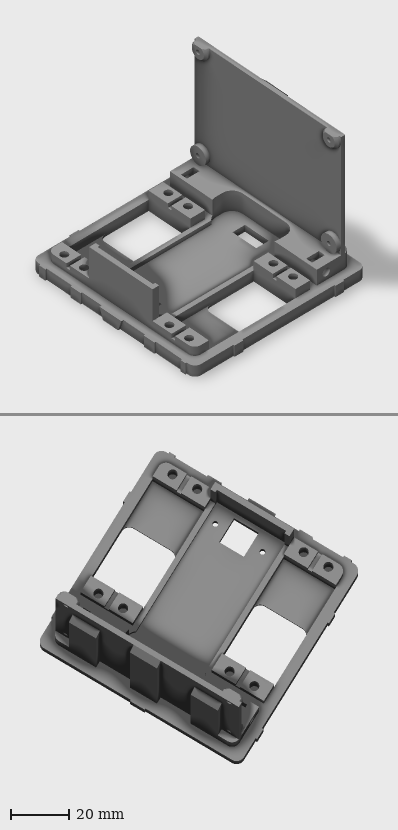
import cadquery as cq


OVERALL_X = 83.0
PLATE_X = 81.8
PLATE_Y = 81.0
PLATE_Z = 5.0
CORNER_R = 3.0
SIDE_TAB_WIDTH = 4.15
SIDE_TAB_YS = (27.6, -20.1)
BACK_TAB_OUT = 0.5
BACK_TAB_WIDTH = 6.0
FRONT_TAB_OUT = 0.7
FRONT_TAB_SPANS = ((-36.7, -33.5), (-20.8, -15.7), (16.0, 21.4), (34.5, 36.9))
KEY_OUT = 1.0
KEY_CENTRE_X = -0.4
KEY_TOP_WIDTH = 10.95
KEY_BOTTOM_WIDTH = 7.6

INNER = 73.95
HALF_INNER = INNER / 2

BAY_INNER_X = 15.9
BAY_WIDTH = HALF_INNER - BAY_INNER_X
BAY_X = (HALF_INNER + BAY_INNER_X) / 2
BAY_FLOOR_Z = 1.0
OPENING_FRONT_Y = -12.5
OPENING_R = 3.0
BOSS_DEPTH = 6.9
BOSS_TOP_Z = 9.05
BACK_BOSS_Y = 14.4
FRONT_BOSS_Y = -HALF_INNER + BOSS_DEPTH / 2
BOSS_HOLE_D = 3.5
BOSS_HOLE_PITCH = 10.0
BOSS_HOLE_Y_SHIFT = 0.7
GROOVE_WIDTH = 1.75
GROOVE_DEPTH = 2.0

BLOCK_FRONT_Y = 21.0
BLOCK_TOP_Z = 12.0
SLOT_X = 31.5
SLOT_Y = 25.5
SLOT_WIDTH = 3.0
SLOT_LENGTH = 6.0
SLOT_FLOOR_Z = 6.0
SIDE_HOLE_D = 3.5
SIDE_HOLE_Z = 8.5
SIDE_HOLE_DEPTH = 10.0

PANEL_FRONT_Y = 32.5
PANEL_BACK_Y = 34.45
PANEL_TOP_Z = 64.5
PAD_D = 8.0
PAD_OUT = 2.1
PAD_X = 32.95
PAD_LOW_Z = BLOCK_TOP_Z + PAD_D / 2
PAD_HIGH_Z = 62.0
PAD_CHAMFER = 1.0
SCREW_HOLE_D = 2.0
SIDE_RIB_X = 24.6
SIDE_RIB_TOP_Z = 54.5
RIB_WIDTH = 10.95
RIB_SLOPE_DROP = HALF_INNER - PANEL_BACK_Y
GAP_X = SIDE_RIB_X / 2
GAP_WIDTH = SIDE_RIB_X - RIB_WIDTH

WALL_BACK_Y = -33.9
WALL_TOP_Z = 23.1
POCKET_FLOOR_Z = 3.0
POCKET_WIDTH = 27.9
POCKET_FRONT_Y = -34.9
POCKET_HEAD_FRONT_Y = 17.9
POCKET_HEAD_BACK_Y = 31.0
POCKET_HEAD_R = 5.0
POCKET_HOLE_Y = -28.05
POCKET_HOLE_XS = (-8.55, 10.45)
BACK_WINDOW_X_SPAN = (-6.0, 6.0)
BACK_WINDOW_Y_SPAN = (21.5, 27.4)
FRONT_WINDOW_X_SPAN = (-4.0, 6.0)
FRONT_WINDOW_Y_SPAN = (-33.1, -23.2)


def box(x0, x1, y0, y1, z0, z1):
    """Box between two opposite corners."""
    return cq.Workplane("XY").box(x1 - x0, y1 - y0, z1 - z0, centered=False).translate((x0, y0, z0))


def inner_prism(z1):
    """Rounded square prism from the plate underside up to z1."""
    return cq.Workplane("XY").rect(INNER, INNER).extrude(z1).edges("|Z").fillet(CORNER_R)


def y_cylinder(diameter, x, z, front_y, back_y):
    """Cylinder along Y between two Y positions."""
    plane = cq.Workplane("XZ", origin=(x, back_y, z))
    return plane.circle(diameter / 2).extrude(back_y - front_y)


def base_plate():
    """Solid plate with side, back and front tabs and a tapered key at the front."""
    plate = cq.Workplane("XY").rect(PLATE_X, PLATE_Y).extrude(PLATE_Z).edges("|Z").fillet(CORNER_R)
    half_tab = SIDE_TAB_WIDTH / 2
    for y in SIDE_TAB_YS:
        plate = plate.union(box(-OVERALL_X / 2, OVERALL_X / 2, y - half_tab, y + half_tab, 0, PLATE_Z))
    back_y = PLATE_Y / 2 + BACK_TAB_OUT
    plate = plate.union(box(-BACK_TAB_WIDTH / 2, BACK_TAB_WIDTH / 2, 0, back_y, 0, PLATE_Z))
    for x0, x1 in FRONT_TAB_SPANS:
        plate = plate.union(box(x0, x1, -PLATE_Y / 2 - FRONT_TAB_OUT, -HALF_INNER, 0, PLATE_Z))
    key = (
        cq.Workplane("XZ", origin=(KEY_CENTRE_X, -HALF_INNER, 0))
        .moveTo(-KEY_BOTTOM_WIDTH / 2, 0)
        .lineTo(KEY_BOTTOM_WIDTH / 2, 0)
        .lineTo(KEY_TOP_WIDTH / 2, PLATE_Z)
        .lineTo(-KEY_TOP_WIDTH / 2, PLATE_Z)
        .close()
        .extrude(PLATE_Y / 2 + KEY_OUT - HALF_INNER)
    )
    return plate.union(key)


def bay_cut(x):
    """Recess between the two bosses of a bay, open through the plate at the back."""
    x0 = x - BAY_WIDTH / 2
    x1 = x + BAY_WIDTH / 2
    back_y = BACK_BOSS_Y - BOSS_DEPTH / 2
    recess = box(x0, x1, -HALF_INNER + BOSS_DEPTH, back_y, BAY_FLOOR_Z, PLATE_Z)
    opening = box(x0, x1, OPENING_FRONT_Y, back_y, 0, PLATE_Z).edges("|Z and <Y").fillet(OPENING_R)
    return recess.union(opening)


def boss(x, y, hole_y):
    """Grooved boss body, and the two blind holes to cut into it and the plate below."""
    body = box(
        x - BAY_WIDTH / 2, x + BAY_WIDTH / 2, y - BOSS_DEPTH / 2, y + BOSS_DEPTH / 2, 0, BOSS_TOP_Z
    ).intersect(inner_prism(BOSS_TOP_Z))
    groove = box(
        x - GROOVE_WIDTH / 2,
        x + GROOVE_WIDTH / 2,
        y - BOSS_DEPTH / 2,
        y + BOSS_DEPTH / 2,
        BOSS_TOP_Z - GROOVE_DEPTH,
        BOSS_TOP_Z,
    )
    holes = (
        cq.Workplane("XY", origin=(x, hole_y, BAY_FLOOR_Z))
        .rarray(BOSS_HOLE_PITCH, 0.8, 2, 1)
        .circle(BOSS_HOLE_D / 2)
        .extrude(BOSS_TOP_Z)
    )
    return body.cut(groove), holes


def rear_block():
    """Block with a vertical slot at each end, met by a hole from the side, and gaps between the ribs."""
    block = inner_prism(BLOCK_TOP_Z).intersect(
        box(-HALF_INNER, HALF_INNER, BLOCK_FRONT_Y, HALF_INNER, 0, BLOCK_TOP_Z)
    )
    for side in (-1, 1):
        slot = box(
            side * SLOT_X - SLOT_WIDTH / 2,
            side * SLOT_X + SLOT_WIDTH / 2,
            SLOT_Y - SLOT_LENGTH / 2,
            SLOT_Y + SLOT_LENGTH / 2,
            SLOT_FLOOR_Z,
            BLOCK_TOP_Z,
        )
        side_hole = (
            cq.Workplane("YZ", origin=(side * HALF_INNER, SLOT_Y, SIDE_HOLE_Z))
            .circle(SIDE_HOLE_D / 2)
            .extrude(-side * SIDE_HOLE_DEPTH)
        )
        gap_x = side * GAP_X
        gap = box(
            gap_x - GAP_WIDTH / 2, gap_x + GAP_WIDTH / 2, PANEL_BACK_Y, HALF_INNER, PLATE_Z, BLOCK_TOP_Z
        )
        block = block.cut(slot).cut(side_hole).cut(gap)
    return block


def rib(x, top_z):
    """Rib behind the panel with a top that slopes down to the back."""
    return (
        cq.Workplane("YZ", origin=(x - RIB_WIDTH / 2, 0, 0))
        .moveTo(PANEL_FRONT_Y, BLOCK_TOP_Z)
        .lineTo(HALF_INNER, BLOCK_TOP_Z)
        .lineTo(HALF_INNER, top_z - RIB_SLOPE_DROP)
        .lineTo(PANEL_BACK_Y, top_z)
        .lineTo(PANEL_FRONT_Y, top_z)
        .close()
        .extrude(RIB_WIDTH)
    )


def panel():
    """Panel with four drilled pads; the two high pads are chamfered and cut level with its top."""
    body = box(-HALF_INNER, HALF_INNER, PANEL_FRONT_Y, PANEL_BACK_Y, BLOCK_TOP_Z, PANEL_TOP_Z)
    body = body.union(rib(0, PANEL_TOP_Z))
    for side in (-1, 1):
        body = body.union(rib(side * SIDE_RIB_X, SIDE_RIB_TOP_Z))
    pad_front_y = PANEL_FRONT_Y - PAD_OUT
    above_panel = box(-HALF_INNER, HALF_INNER, pad_front_y, HALF_INNER, PANEL_TOP_Z, PANEL_TOP_Z + PAD_D)
    for x in (-PAD_X, PAD_X):
        high_pad = y_cylinder(PAD_D, x, PAD_HIGH_Z, pad_front_y, PANEL_BACK_Y)
        high_pad = high_pad.faces("<Y").chamfer(PAD_CHAMFER)
        low_pad = y_cylinder(PAD_D, x, PAD_LOW_Z, pad_front_y, PANEL_BACK_Y)
        body = body.union(high_pad.cut(above_panel)).union(low_pad)
        for z in (PAD_LOW_Z, PAD_HIGH_Z):
            body = body.cut(y_cylinder(SCREW_HOLE_D, x, z, pad_front_y, HALF_INNER))
    return body


def pocket_cut():
    """Long pocket with a wider rounded head, and the openings through its floor."""
    head = box(
        -BAY_INNER_X, BAY_INNER_X, POCKET_HEAD_FRONT_Y, POCKET_HEAD_BACK_Y, POCKET_FLOOR_Z, WALL_TOP_Z
    )
    head = head.edges("|Z").fillet(POCKET_HEAD_R)
    half_width = POCKET_WIDTH / 2
    channel_back_y = POCKET_HEAD_FRONT_Y + POCKET_HEAD_R
    cut = head.union(
        box(-half_width, half_width, POCKET_FRONT_Y, channel_back_y, POCKET_FLOOR_Z, WALL_TOP_Z)
    )
    back_window = box(*BACK_WINDOW_X_SPAN, *BACK_WINDOW_Y_SPAN, 0, PLATE_Z)
    front_window = box(*FRONT_WINDOW_X_SPAN, *FRONT_WINDOW_Y_SPAN, 0, PLATE_Z)
    cut = cut.union(back_window).union(front_window)
    for x in POCKET_HOLE_XS:
        cut = cut.union(
            cq.Workplane("XY").center(x, POCKET_HOLE_Y).circle(SCREW_HOLE_D / 2).extrude(PLATE_Z)
        )
    return cut


def front_wall():
    return box(-BAY_INNER_X, BAY_INNER_X, -HALF_INNER, WALL_BACK_Y, 0, WALL_TOP_Z)


result = base_plate().union(rear_block())
for bay_x in (-BAY_X, BAY_X):
    result = result.cut(bay_cut(bay_x))
    for boss_y, hole_shift in ((BACK_BOSS_Y, BOSS_HOLE_Y_SHIFT), (FRONT_BOSS_Y, -BOSS_HOLE_Y_SHIFT)):
        boss_body, boss_holes = boss(bay_x, boss_y, boss_y + hole_shift)
        result = result.union(boss_body).cut(boss_holes)

result = result.union(front_wall()).cut(pocket_cut()).union(panel())